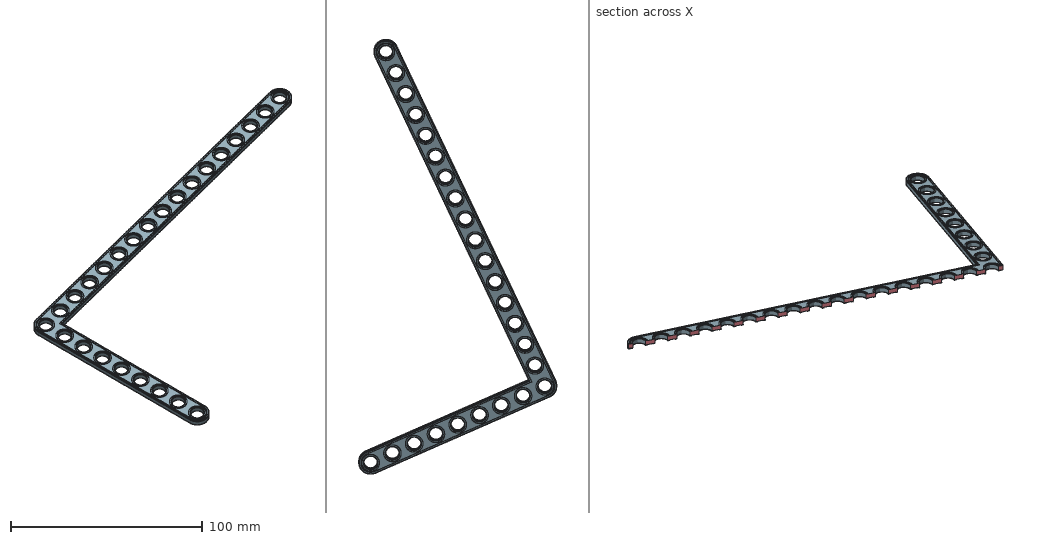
import cadquery as cq

pitch = 12.5
width = pitch
thickness = 3.12
holes_x = 9
holes_y = 17
hole_diameter = 7.0
collar_diameter = 9.2
pocket_depth = 0.2
edge_chamfer = 0.3

half_width = width / 2
rim_width = (collar_diameter - hole_diameter) / 2
length_x = (holes_x - 1) * pitch
length_y = (holes_y - 1) * pitch
hole_centres = [(i * pitch, 0) for i in range(holes_x)]
hole_centres += [(0, j * pitch) for j in range(1, holes_y)]


def make_bar(radius, height):
    """L-shaped bar of half width radius; its ends and outer corner are rounded about holes."""
    return (
        cq.Workplane("XY")
        .moveTo(0, -radius)
        .lineTo(length_x, -radius)
        .threePointArc((length_x + radius, 0), (length_x, radius))
        .lineTo(radius, radius)
        .lineTo(radius, length_y)
        .threePointArc((0, length_y + radius), (-radius, length_y))
        .lineTo(-radius, 0)
        .radiusArc((0, -radius), -radius)
        .close()
        .extrude(height)
    )


def make_pocket():
    """Recess inside the rim, leaving the hole collars standing."""
    recess = make_bar(half_width - rim_width, pocket_depth)
    collars = (
        cq.Workplane("XY")
        .pushPoints(hole_centres)
        .circle(collar_diameter / 2)
        .extrude(pocket_depth)
    )
    return recess.cut(collars)


def make_hole_cutter():
    """Cutter for one through hole, flared by a bevel at both mouths."""
    hole_radius = hole_diameter / 2
    mouth_radius = hole_radius + edge_chamfer
    return (
        cq.Workplane("XZ")
        .lineTo(mouth_radius, 0)
        .lineTo(hole_radius, edge_chamfer)
        .lineTo(hole_radius, thickness - edge_chamfer)
        .lineTo(mouth_radius, thickness)
        .lineTo(0, thickness)
        .close()
        .revolve(360, (0, 0, 0), (0, 1, 0))
    )


plate = make_bar(half_width, thickness).faces("<Z or >Z").chamfer(edge_chamfer)

pocket = make_pocket()
plate = plate.cut(pocket)
plate = plate.cut(pocket.translate((0, 0, thickness - pocket_depth)))

hole_cutter = make_hole_cutter()
for x, y in hole_centres:
    plate = plate.cut(hole_cutter.translate((x, y, 0)))

result = plate